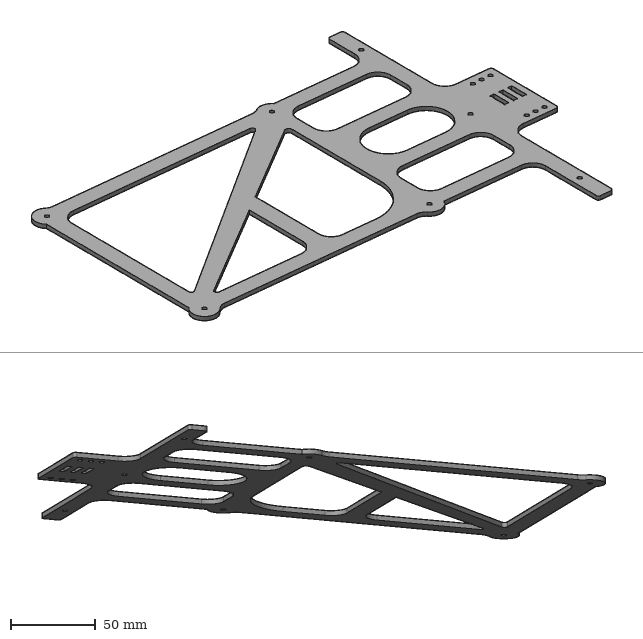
import cadquery as cq
import math

thickness = 3.0
length = 316.8

arm_half_span = 120.0
arm_bottom = 266.7
arm_width = 12.0
arm_top = arm_bottom + arm_width
tab_middle = -1.0
tab_width = 60.0
tab_left = tab_middle - tab_width / 2
tab_right = tab_middle + tab_width / 2
tip_radius = 2.0

frame_left = -85.8
frame_right = 63.5
frame_bottom = 3.0
rail_width = 11.7
inner_left = frame_left + rail_width
inner_right = frame_right - rail_width
inner_bottom = 15.0
corner_radius = 10.0

lug_radius = 9.2
lug_left = -79.8
lug_right = 60.0
lug_low = lug_radius
lug_high = 187.0
lug_blend_radius = 8.2
lug_points = [(x, y) for x in (lug_left, lug_right) for y in (lug_low, lug_high)]

side_window_width = 34.5
left_window_bottom = 193.0
right_window_bottom = 194.0
slot_window_middle = -11.0
slot_window_width = 33.5
slot_window_top = 264.5
slot_window_bottom = 200.8

brace_window_top = 182.5
brace_window_radius = 30.0
crossbar_top = 115.5
crossbar_bottom = 103.0
brace_upper_x = -14.5
brace_upper_angle = 54.7
brace_upper_slope = math.tan(math.radians(brace_upper_angle))
brace_lower_x = 43.5
brace_lower_angle = 52.9
brace_lower_slope = math.tan(math.radians(brace_lower_angle))
brace_top_radius = 2.5
brace_tip_radius = 2.0

hole_diameter = 3.0
arm_hole_spacing = 97.0
arm_hole_y = 272.7
tab_hole_middle = -0.5
tab_hole_spacing = 47.8
tab_row_pitch = 7.0
tab_row_middle = 303.5
tab_slot_length = 13.0
tab_slot_width = 3.0


def block(left, right, bottom, top):
    """Rectangular plate between the given sides."""
    width = right - left
    height = top - bottom
    return cq.Workplane("XY").box(width, height, thickness, centered=False).translate((left, bottom, 0))


def round_corner(plate, point, radius):
    """Round the upright edge of the plate at an XY point."""
    middle = (point[0], point[1], thickness / 2)
    return plate.edges("|Z").edges(cq.NearestToPointSelector(middle)).fillet(radius)


def window(corners):
    """Prism with a list of (x, y, radius) corners; a zero radius leaves the corner sharp."""
    prism = cq.Workplane("XY").polyline([(x, y) for x, y, _ in corners]).close().extrude(thickness)
    for x, y, radius in corners:
        if radius > 0:
            prism = round_corner(prism, (x, y), radius)
    return prism


def rounded_window(left, right, bottom, top):
    """Prism between the given sides with all four corners rounded."""
    corners = [(left, bottom), (right, bottom), (right, top), (left, top)]
    return window([(x, y, corner_radius) for x, y in corners])


def brace_upper_edge(y):
    """X of the brace edge that faces up and right."""
    return brace_upper_x + (crossbar_top - y) / brace_upper_slope


def brace_lower_edge(y):
    """X of the brace edge that faces down and left."""
    return brace_lower_x + (inner_bottom - y) / brace_lower_slope


def make_outline():
    plate = block(-arm_half_span, arm_half_span, arm_bottom, arm_top)
    plate = plate.union(block(tab_left, tab_right, arm_bottom, length))
    plate = plate.union(block(frame_left, frame_right, frame_bottom, arm_top))

    for x in (-arm_half_span, arm_half_span):
        for y in (arm_bottom, arm_top):
            plate = round_corner(plate, (x, y), tip_radius)
    for x in (tab_left, tab_right):
        plate = round_corner(plate, (x, length), tip_radius)
        plate = round_corner(plate, (x, arm_top), corner_radius)
    for x in (frame_left, frame_right):
        plate = round_corner(plate, (x, arm_bottom), corner_radius)
    return plate


def add_lugs(plate):
    plate = plate.union(cq.Workplane("XY").pushPoints(lug_points).circle(lug_radius).extrude(thickness))

    for lug_x, rail_x in ((lug_left, frame_left), (lug_right, frame_right)):
        half_chord = math.sqrt(lug_radius**2 - (rail_x - lug_x) ** 2)
        for y in (lug_low + half_chord, lug_high - half_chord):
            plate = round_corner(plate, (rail_x, y), lug_blend_radius)
    return plate


def cut_upper_windows(plate):
    left = rounded_window(inner_left, inner_left + side_window_width, left_window_bottom, arm_bottom)
    right = rounded_window(inner_right - side_window_width, inner_right, right_window_bottom, arm_bottom)
    slot = (
        cq.Workplane("XY")
        .center(slot_window_middle, (slot_window_top + slot_window_bottom) / 2)
        .slot2D(slot_window_top - slot_window_bottom, slot_window_width, 90)
        .extrude(thickness)
    )
    return plate.cut(left).cut(right).cut(slot)


def cut_brace_windows(plate):
    above_crossbar = window([
        (brace_upper_edge(brace_window_top), brace_window_top, brace_top_radius),
        (inner_right, brace_window_top, brace_window_radius),
        (inner_right, crossbar_top, corner_radius),
        (brace_upper_edge(crossbar_top), crossbar_top, 0),
    ])
    triangle_tip = crossbar_top - (inner_right - brace_upper_x) * brace_upper_slope
    below_crossbar = window([
        (brace_upper_edge(crossbar_bottom), crossbar_bottom, 0),
        (inner_right, crossbar_bottom, corner_radius),
        (inner_right, triangle_tip, brace_tip_radius),
    ])
    large_tip = inner_bottom + (brace_lower_x - inner_left) * brace_lower_slope
    below_brace = window([
        (inner_left, inner_bottom, corner_radius),
        (brace_lower_edge(inner_bottom), inner_bottom, brace_tip_radius),
        (inner_left, large_tip, brace_tip_radius),
    ])
    return plate.cut(above_crossbar).cut(below_crossbar).cut(below_brace)


def cut_holes(plate):
    rows = [tab_row_middle + step * tab_row_pitch for step in (-1, 0, 1)]
    points = lug_points + [(step * arm_hole_spacing, arm_hole_y) for step in (-1, 0, 1)]
    points += [(tab_hole_middle + side * tab_hole_spacing / 2, y) for side in (-1, 1) for y in rows]
    holes = cq.Workplane("XY").pushPoints(points).circle(hole_diameter / 2).extrude(thickness)
    slots = (
        cq.Workplane("XY")
        .pushPoints([(tab_middle, y) for y in rows])
        .rect(tab_slot_length, tab_slot_width)
        .extrude(thickness)
    )
    return plate.cut(holes).cut(slots)


plate = add_lugs(make_outline())
plate = cut_upper_windows(plate)
plate = cut_brace_windows(plate)
result = cut_holes(plate)